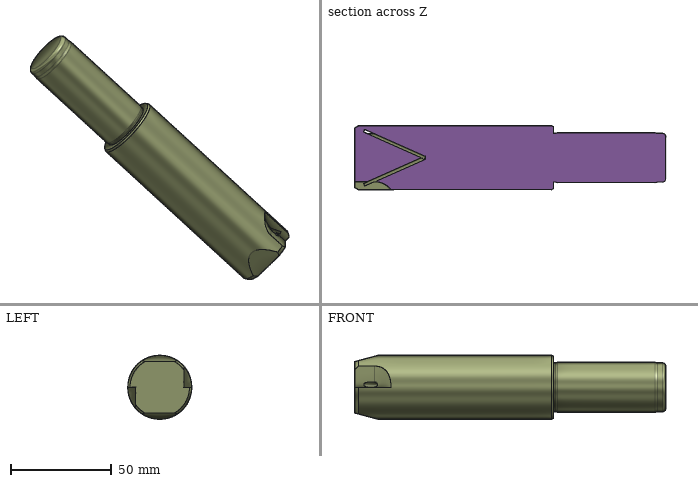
import cadquery as cq
import math

total_length = 155.38
body_diameter = 32.0
shank_diameter = 25.0
relief_diameter = 24.5
shank_length = 56.0

body_radius = body_diameter / 2
shank_radius = shank_diameter / 2
relief_radius = relief_diameter / 2
relief_depth = shank_radius - relief_radius
shoulder_x = total_length - shank_length

chamfer_angle = math.radians(30)
nose_chamfer_length = 2.0
shoulder_chamfer_length = 1.0
nose_chamfer_depth = nose_chamfer_length * math.tan(chamfer_angle)
shoulder_chamfer_depth = shoulder_chamfer_length * math.tan(chamfer_angle)

neck_taper_angle = math.radians(15)
end_taper_angle = math.radians(10)
neck_width = 0.9
neck_taper_length = relief_depth / math.tan(neck_taper_angle)
end_band_width = 4.1
end_taper_length = relief_depth / math.tan(end_taper_angle)
shank_end_fillet = 1.8

flat_angle = math.radians(15)
flat_length = 11.8
flat_end_depth = flat_length * math.tan(flat_angle)

pocket_wall_offset = 12.0
pocket_straight_length = 10.0
pocket_runout_length = 8.2
pocket_end_x = pocket_straight_length + pocket_runout_length
pocket_depth = body_radius - pocket_wall_offset
pocket_runout_radius = (pocket_runout_length**2 + pocket_depth**2) / (2 * pocket_depth)

coolant_diameter = 2.9
coolant_angle = math.radians(24)
coolant_start_x = 4.8
coolant_start_y = -13.5
coolant_height = 1.3
coolant_length = -coolant_start_y / math.sin(coolant_angle)

clearance = 2.0


def make_turned_body():
    """Revolve the body and shank about the X axis."""
    neck_end_x = shoulder_x + neck_width
    band_start_x = total_length - end_band_width
    profile = (
        cq.Workplane("XY")
        .moveTo(0, 0)
        .lineTo(0, body_radius - nose_chamfer_depth)
        .lineTo(nose_chamfer_length, body_radius)
        .lineTo(shoulder_x - shoulder_chamfer_length, body_radius)
        .lineTo(shoulder_x, body_radius - shoulder_chamfer_depth)
        .lineTo(shoulder_x, relief_radius)
        .lineTo(neck_end_x, relief_radius)
        .lineTo(neck_end_x + neck_taper_length, shank_radius)
        .lineTo(band_start_x - end_taper_length, shank_radius)
        .lineTo(band_start_x, relief_radius)
        .lineTo(total_length, relief_radius)
        .lineTo(total_length, 0)
        .close()
    )
    body = profile.revolve(360, (0, 0, 0), (1, 0, 0))
    return body.faces(">X").edges().fillet(shank_end_fillet)


def make_flat_cutter():
    """Wedge that leaves the sloped flat on top of the cutting end."""
    return (
        cq.Workplane("XZ")
        .moveTo(0, body_radius - flat_end_depth)
        .lineTo(flat_length, body_radius)
        .lineTo(flat_length, body_radius + clearance)
        .lineTo(0, body_radius + clearance)
        .close()
        .extrude(body_radius, both=True)
    )


def make_pocket_cutter():
    """Pocket on the -Y side, above its floor on the mid-plane Z = 0."""
    half_sweep = math.asin(pocket_runout_length / pocket_runout_radius) / 2
    arc_middle = (
        pocket_straight_length + pocket_runout_radius * math.sin(half_sweep),
        -pocket_wall_offset - pocket_runout_radius * (1 - math.cos(half_sweep)),
    )
    return (
        cq.Workplane("XY")
        .moveTo(0, -pocket_wall_offset)
        .lineTo(pocket_straight_length, -pocket_wall_offset)
        .threePointArc(arc_middle, (pocket_end_x, -body_radius))
        .lineTo(pocket_end_x, -body_radius - clearance)
        .lineTo(0, -body_radius - clearance)
        .close()
        .extrude(body_radius)
    )


def make_coolant_cutter():
    """Hole parallel to the pocket floor, which it grazes, slanted into the body."""
    start = cq.Vector(coolant_start_x, coolant_start_y, coolant_height)
    direction = cq.Vector(math.cos(coolant_angle), math.sin(coolant_angle), 0)
    hole = cq.Solid.makeCylinder(coolant_diameter / 2, coolant_length, start, direction)
    return cq.Workplane(obj=hole)


result = make_turned_body()
for cutter in (make_flat_cutter(), make_pocket_cutter(), make_coolant_cutter()):
    for turn in (0, 180):
        result = result.cut(cutter.rotate((0, 0, 0), (1, 0, 0), turn))